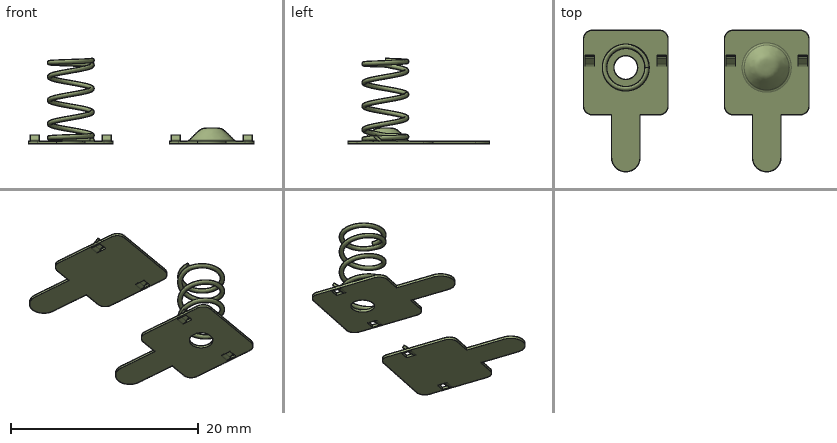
import cadquery as cq
import math


overall_length = 24.05
plate_width = 9.05
plate_thickness = 0.3
corner_radius = 0.99
axis_to_top_edge = 4.0
contact_spacing = overall_length - plate_width
plate_center_y = axis_to_top_edge - plate_width / 2
plate_bottom_edge = axis_to_top_edge - plate_width

total_depth = 15.1
tail_width = 3.05
tail_tip_y = axis_to_top_edge - total_depth
tail_tip_radius = tail_width / 2

tab_width = 0.99
tab_edge_margin = 0.2
tab_center_x = plate_width / 2 - tab_edge_margin - tab_width / 2
tab_angle = math.radians(42)
tab_bend_radius = 0.35
tab_rise = 0.661
tab_root_y = 0.15
slot_length = 1.15

hole_diameter = 2.5
wire_diameter = 0.48
coil_outer_diameter = 5.0
coil_radius = (coil_outer_diameter - wire_diameter) / 2
closed_pitch = 0.5
open_pitch = 2.5
open_turns = 3
total_turns = open_turns + 2
wire_start_z = plate_thickness + 0.085
path_points_per_turn = 16

button_height = 1.4
button_angle = math.radians(45)
button_flare_radius = 0.31
button_base_radius = 2.62
cap_edge_height = 0.9
cap_shoulder_radius = 1.2
cap_shoulder_height = 1.23


def tab_profile():
    """Side outline of a tab in the YZ plane: bend, then a straight leaf rising toward +Y."""
    bend_center_z = plate_thickness + tab_bend_radius
    outer_radius = tab_bend_radius + plate_thickness

    def on_bend(radius, angle):
        return (tab_root_y + radius * math.sin(angle), bend_center_z - radius * math.cos(angle))

    inner_end = on_bend(tab_bend_radius, tab_angle)
    outer_end = on_bend(outer_radius, tab_angle)
    leaf_rise = plate_thickness + tab_rise - inner_end[1]
    leaf_run = leaf_rise / math.tan(tab_angle)
    return (
        cq.Workplane("YZ")
        .moveTo(tab_root_y, 0)
        .threePointArc(on_bend(outer_radius, tab_angle / 2), outer_end)
        .lineTo(outer_end[0] + leaf_run, outer_end[1] + leaf_rise)
        .lineTo(inner_end[0] + leaf_run, inner_end[1] + leaf_rise)
        .lineTo(*inner_end)
        .threePointArc(on_bend(tab_bend_radius, tab_angle / 2), (tab_root_y, plate_thickness))
        .close()
    )


def make_plate():
    """Rounded plate with its tail and two bent-up tabs, centered on x = 0."""
    plate = (
        cq.Workplane("XY")
        .center(0, plate_center_y)
        .rect(plate_width, plate_width)
        .extrude(plate_thickness)
        .edges("|Z")
        .fillet(corner_radius)
    )
    tail = (
        cq.Workplane("XY")
        .moveTo(-tail_width / 2, plate_bottom_edge)
        .lineTo(-tail_width / 2, tail_tip_y + tail_tip_radius)
        .threePointArc((0, tail_tip_y), (tail_width / 2, tail_tip_y + tail_tip_radius))
        .lineTo(tail_width / 2, plate_bottom_edge)
        .close()
        .extrude(plate_thickness)
    )
    plate = plate.union(tail)
    tab = tab_profile().extrude(tab_width / 2, both=True)
    slot = (
        cq.Workplane("XY")
        .center(0, tab_root_y + slot_length / 2)
        .rect(tab_width, slot_length)
        .extrude(plate_thickness)
    )
    for x in (-tab_center_x, tab_center_x):
        plate = plate.cut(slot.translate((x, 0, 0))).union(tab.translate((x, 0, 0)))
    return plate


def wire_height(turn):
    """Height of the wire center: one closed turn, the open turns, one closed turn."""
    open_part = min(max(turn - 1, 0), open_turns)
    closed_part = turn - open_part
    return wire_start_z + closed_pitch * closed_part + open_pitch * open_part


def make_coil():
    """Right-handed coil that starts and ends on the +X side."""
    path_points = []
    for i in range(total_turns * path_points_per_turn + 1):
        turn = i / path_points_per_turn
        angle = 2 * math.pi * turn
        path_points.append(
            (coil_radius * math.cos(angle), coil_radius * math.sin(angle), wire_height(turn))
        )
    path = cq.Workplane("XY").spline(path_points)
    return (
        cq.Workplane("XZ", origin=path_points[0])
        .circle(wire_diameter / 2)
        .sweep(path, isFrenet=True)
    )


def make_button():
    """Solid button: concave flare, then one smooth conical side and domed cap, revolved about Z."""
    flare_center_z = plate_thickness + button_flare_radius

    def on_flare(angle):
        return (
            button_base_radius - button_flare_radius * math.sin(angle),
            flare_center_z - button_flare_radius * math.cos(angle),
        )

    cone_base = on_flare(button_angle)
    cap_edge_z = plate_thickness + cap_edge_height
    cap_edge_radius = cone_base[0] - (cap_edge_z - cone_base[1]) / math.tan(button_angle)
    dome_points = [
        (cap_edge_radius, cap_edge_z),
        (cap_shoulder_radius, plate_thickness + cap_shoulder_height),
        (0, plate_thickness + button_height),
    ]
    cone_direction = (-math.cos(button_angle), math.sin(button_angle))
    return (
        cq.Workplane("XZ")
        .lineTo(button_base_radius, 0)
        .lineTo(button_base_radius, plate_thickness)
        .threePointArc(on_flare(button_angle / 2), cone_base)
        .spline(dome_points, tangents=[cone_direction, (-1, 0)], includeCurrent=True)
        .close()
        .revolve(360, (0, 0, 0), (0, 1, 0))
    )


def make_spring_contact():
    hole = cq.Workplane("XY").circle(hole_diameter / 2).extrude(plate_thickness)
    return make_plate().cut(hole).union(make_coil())


def make_button_contact():
    contact = make_plate().union(make_button())
    return contact.translate((contact_spacing, 0, 0))


spring_contact = make_spring_contact()
button_contact = make_button_contact()

result = cq.Compound.makeCompound([spring_contact.solids().val(), button_contact.solids().val()])